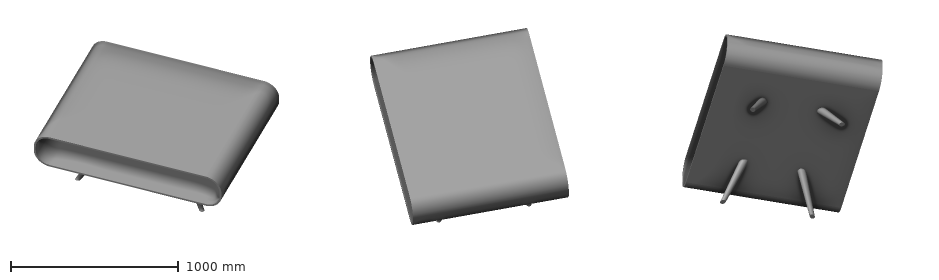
import cadquery as cq

width = 1200.0
depth = 950.0
total_height = 451.0

shell_height = 227.0
wall = 12.0
corner_radius = 100.0

leg_height = total_height - shell_height
leg_top_x = 264.0
leg_top_y = 180.0
leg_foot_x = 396.0
leg_foot_y = 274.0
leg_top_diameter = 50.0
leg_foot_diameter = 30.0
end_allowance = 48.0


def rounded_bar(bar_width, bar_height, radius):
    """Solid bar along Y, centred on the origin, with its four long edges rounded."""
    return cq.Workplane("XY").box(bar_width, depth, bar_height).edges("|Y").fillet(radius)


def make_shell():
    """Rounded tube standing on the plane of the leg tops."""
    outside = rounded_bar(width, shell_height, corner_radius)
    inside = rounded_bar(width - 2 * wall, shell_height - 2 * wall, corner_radius - wall)
    return outside.cut(inside).translate((0, 0, leg_height + shell_height / 2))


def make_leg(side_x, side_y):
    """Splayed leg in the quadrant given by the signs side_x and side_y."""
    foot = cq.Vector(side_x * leg_foot_x, side_y * leg_foot_y, 0)
    top = cq.Vector(side_x * leg_top_x, side_y * leg_top_y, leg_height)
    axis = top - foot
    direction = axis.normalized()

    radius_growth = (leg_top_diameter - leg_foot_diameter) / 2 / axis.Length
    cone = cq.Solid.makeCone(
        leg_foot_diameter / 2 - radius_growth * end_allowance,
        leg_top_diameter / 2 + radius_growth * end_allowance,
        axis.Length + 2 * end_allowance,
        foot - direction * end_allowance,
        direction,
    )
    level_slab = cq.Workplane("XY").box(width, depth, leg_height, centered=(True, True, False))
    return level_slab.intersect(cq.Workplane(obj=cone))


shell = make_shell()
legs = [make_leg(side_x, side_y) for side_x in (-1, 1) for side_y in (-1, 1)]

result = cq.Compound.makeCompound([shell.val(), *[leg.val() for leg in legs]])